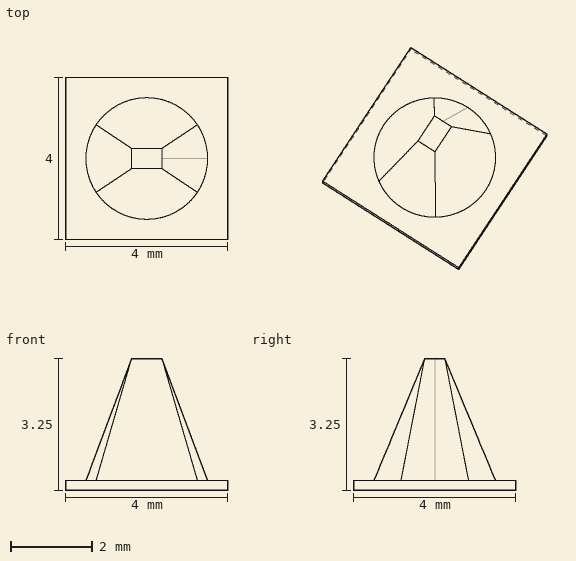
import cadquery as cq

PLATE_SIDE = 4.0
PLATE_THICKNESS = 0.25

FOOT_DIAMETER = 3.0
POST_HEIGHT = 3.0
TIP_LENGTH_X = 0.75
TIP_WIDTH_Y = 0.5


def base_plate():
    return cq.Workplane("XY").box(PLATE_SIDE, PLATE_SIDE, PLATE_THICKNESS)


def add_tapered_post(plate):
    """Loft from a circle on the plate's top face to the rectangular tip."""
    return (
        plate.faces(">Z")
        .workplane()
        .circle(FOOT_DIAMETER / 2)
        .workplane(offset=POST_HEIGHT)
        .rect(TIP_LENGTH_X, TIP_WIDTH_Y)
        .loft(combine=True)
    )


result = add_tapered_post(base_plate())